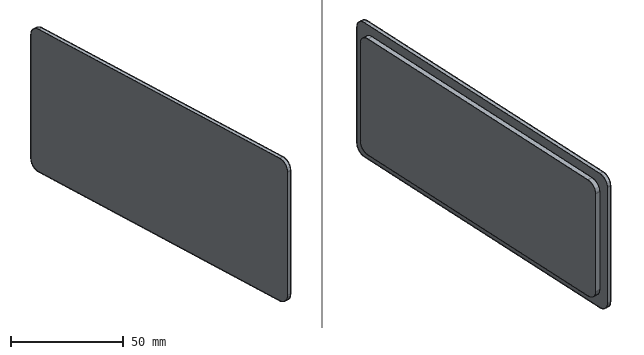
import cadquery as cq

plate_length = 163.0
plate_height = 74.0
plate_thickness = 2.0

total_thickness = 4.5
panel_inset = 5.0
panel_thickness = total_thickness - plate_thickness
panel_length = plate_length - 2 * panel_inset
panel_height = plate_height - 2 * panel_inset

corner_radius = 5.0


def rounded_slab(length, thickness, height, front_y):
    """Slab centred on X and Z, growing toward +Y from front_y, with rounded corners."""
    return (
        cq.Workplane("XY")
        .box(length, thickness, height, centered=(True, False, True))
        .edges("|Y")
        .fillet(corner_radius)
        .translate((0, front_y, 0))
    )


plate = rounded_slab(plate_length, plate_thickness, plate_height, 0)
panel = rounded_slab(panel_length, panel_thickness, panel_height, plate_thickness)

result = plate.union(panel)